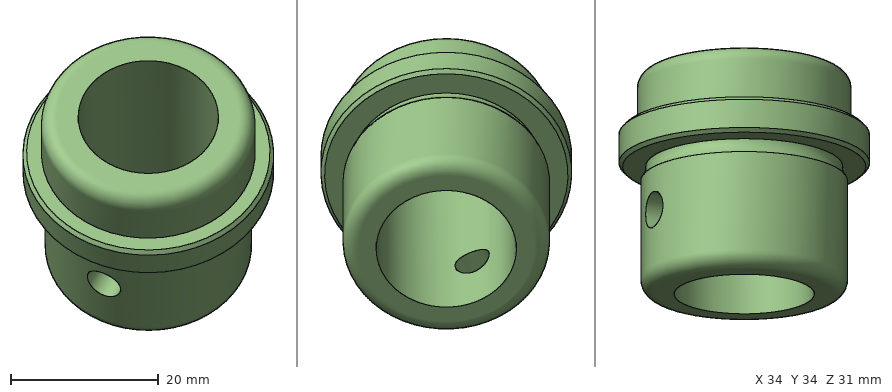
import cadquery as cq

height = 31.0
bore_diameter = 19.0
flange_diameter = 34.0
flange_thickness = 5.0
flange_bottom = 18.0
flange_chamfer = 0.5
collar_diameter = 29.0
sleeve_diameter = 28.0
end_fillet = 2.0

neck_diameter = 26.7
groove_height = 2.0
groove_arc_radius = 2.5

hole_diameter = 5.0
hole_height = 10.0

bore_radius = bore_diameter / 2
flange_radius = flange_diameter / 2
collar_radius = collar_diameter / 2
sleeve_radius = sleeve_diameter / 2
neck_radius = neck_diameter / 2
flange_top = flange_bottom + flange_thickness


def make_body():
    """Revolve the stepped wall section, including its rounded ends and groove."""
    groove_bottom = flange_bottom - groove_height
    section = (
        cq.Workplane("XZ")
        .moveTo(bore_radius, 0)
        .lineTo(sleeve_radius - end_fillet, 0)
        .radiusArc((sleeve_radius, end_fillet), -end_fillet)
        .lineTo(sleeve_radius, groove_bottom)
        .radiusArc((neck_radius, flange_bottom), groove_arc_radius)
        .lineTo(flange_radius - flange_chamfer, flange_bottom)
        .lineTo(flange_radius, flange_bottom + flange_chamfer)
        .lineTo(flange_radius, flange_top - flange_chamfer)
        .lineTo(flange_radius - flange_chamfer, flange_top)
        .lineTo(collar_radius, flange_top)
        .lineTo(collar_radius, height - end_fillet)
        .radiusArc((collar_radius - end_fillet, height), -end_fillet)
        .lineTo(bore_radius, height)
        .close()
    )
    return section.revolve(360, (0, 0, 0), (0, 1, 0))


def make_side_hole():
    """Cylinder from the axis out through the -Y wall."""
    return (
        cq.Workplane("XZ")
        .center(0, hole_height)
        .circle(hole_diameter / 2)
        .extrude(flange_radius)
    )


result = make_body().cut(make_side_hole())